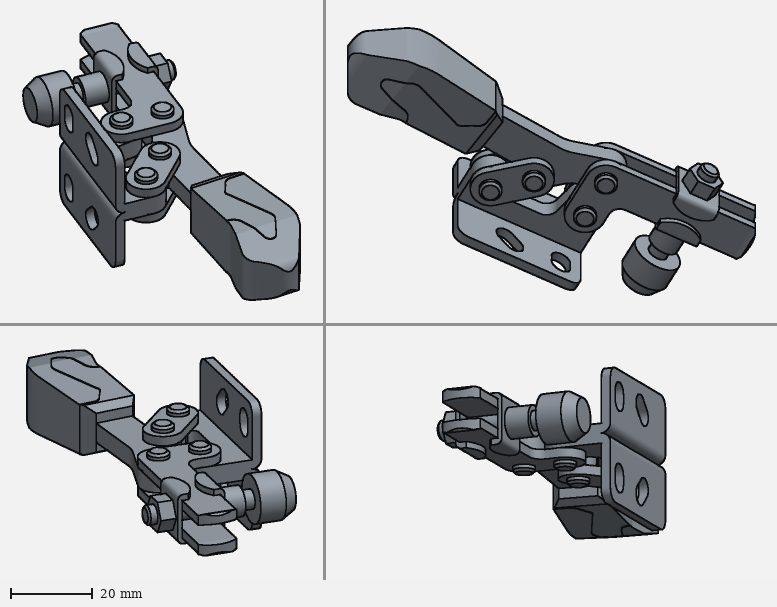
import cadquery as cq
import math


web_thickness = 5.0
plate_thickness = 2.5
lug_radius = 5.0
link_radius = 4.9
web_half = web_thickness / 2
plate_outer = web_half + plate_thickness

foot_size = 34.0
foot_corner_radius = 3.0
floor_height = 8.0
window_front_radius = 3.4
window_front_slope = 12.0
window_rear_x = 22.7
window_rear_radius = 1.5
slot_width = 5.1
slot_travel = 2.1
slot_z = 10.3
straight_slot_x = 5.5
angled_slot_x = 19.6
angled_slot_travel = 3.2
angled_slot_angle = 45.0

rivet_shank_diameter = 4.0
rivet_head_diameter = 5.6
rivet_head_height = 1.6
rivet_head_chamfer = 0.7

arm_base_joint = (lug_radius, 14.2)
arm_lever_joint = (lug_radius, 25.2)
link_base_joint = (foot_size - link_radius, 10.3)
link_lever_joint = (20.9, 17.6)

arm_tip_x = -34.9
arm_tip_sagitta = 1.3
arm_neck_radius = 3.0
arm_top = arm_lever_joint[1] + lug_radius
arm_bottom = arm_lever_joint[1] - lug_radius
lip_start = 2.0
lip_middle = 1.2
lip_crest = 0.7
lip_middle_rise = 0.2
lip_crest_rise = 0.6
lip_tip_drop = 0.1
lip_inner_rise = 0.2

grip_tilt = 6.0
grip_origin = (36.2, 24.2)
lever_half_width = 5.0
lever_neck_slope = 14.5
lever_link_radius = 4.5
lever_top_radius = 10.1
lever_bottom_radius = 5.6
grip_collar_length = 2.8
grip_split_u = 27.2
grip_nose_u = 38.3
grip_tip_u = 41.0
grip_front_half = 5.1
grip_collar_half = 6.6
grip_split_half = 8.2
grip_nose_half = 5.5
grip_tip_half = 1.9
grip_nose_arc_u = 40.3
grip_nose_arc_half = 3.9
grip_reach = 11.2
grip_pad_height = 0.17

spindle_x = -17.3
rod_diameter = 5.0
rod_top = 37.7
rod_chamfer = 0.6
nut_flats = 7.9
nut_turn = 30.0
nut_top = 35.3
collar_diameter = 7.8
collar_bottom = 12.8
cap_diameter = 12.5
cap_top = 9.7
cap_cone_top = 3.0
cap_bottom = -0.3
cap_face_diameter = 8.7
washer_thickness = 1.1
washer_width = 11.2
washer_flange_thickness = 1.6
washer_flange_side = 2.8
washer_flange_middle = 4.8
washer_bend_radius = 1.5


def upright(profile, half):
    """Extrude an XY profile to both sides of the plane Z = 0."""
    return profile.extrude(half, both=True)


def block(x0, x1, y0, y1, half):
    profile = cq.Workplane("XY").moveTo((x0 + x1) / 2, (y0 + y1) / 2).rect(x1 - x0, y1 - y0)
    return upright(profile, half)


def disc(center, radius, half):
    return upright(cq.Workplane("XY").moveTo(*center).circle(radius), half)


def strap(start, end, radius, half):
    """Flat bar with round ends about two points."""
    length = math.dist(start, end)
    angle = math.degrees(math.atan2(end[1] - start[1], end[0] - start[0]))
    middle = ((start[0] + end[0]) / 2, (start[1] + end[1]) / 2)
    profile = cq.Workplane("XY").center(*middle).slot2D(length + 2 * radius, 2 * radius, angle)
    return upright(profile, half)


def rivet(joint):
    """Shank with a chamfered head on each outer plate face."""
    shank = disc(joint, rivet_shank_diameter / 2, plate_outer)
    heads = disc(joint, rivet_head_diameter / 2, plate_outer + rivet_head_height)
    heads = heads.faces("<Z or >Z").chamfer(rivet_head_chamfer)
    return heads.cut(disc(joint, rivet_head_diameter, plate_outer)).union(shank)


def rivet_hole(joint):
    return disc(joint, rivet_shank_diameter / 2, plate_outer)


def crossing(point_a, angle_a, point_b, angle_b):
    """Where two lines meet, each given by a point and an angle in degrees."""
    ax, ay = math.cos(math.radians(angle_a)), math.sin(math.radians(angle_a))
    bx, by = math.cos(math.radians(angle_b)), math.sin(math.radians(angle_b))
    dx, dy = point_b[0] - point_a[0], point_b[1] - point_a[1]
    along = (dx * by - dy * bx) / (ax * by - ay * bx)
    return (point_a[0] + along * ax, point_a[1] + along * ay)


def rim_point(center, radius, angle):
    return (
        center[0] + radius * math.cos(math.radians(angle)),
        center[1] + radius * math.sin(math.radians(angle)),
    )


def foot_slot(x, z, travel, angle):
    profile = cq.Workplane("XZ").center(x, z).slot2D(travel + slot_width, slot_width, angle)
    return profile.extrude(-plate_thickness)


def make_foot():
    foot = block(0, foot_size, 0, plate_thickness, foot_size / 2)
    foot = foot.edges("|Y").fillet(foot_corner_radius)
    for side in (1, -1):
        foot = foot.cut(foot_slot(straight_slot_x, side * slot_z, slot_travel, 90))
        slant = -side * angled_slot_angle
        foot = foot.cut(foot_slot(angled_slot_x, side * slot_z, angled_slot_travel, slant))
    return foot


def make_web():
    lean = -90 + window_front_slope
    lug_side = rim_point(arm_base_joint, lug_radius, window_front_slope)
    window_corner = crossing(lug_side, lean, (0, floor_height), 0)
    front_lug = upright(
        cq.Workplane("XY")
        .polyline([
            (0, floor_height),
            window_corner,
            lug_side,
            arm_base_joint,
            (0, arm_base_joint[1]),
        ])
        .close(),
        web_half,
    )
    web = block(0, foot_size, 0, floor_height, web_half).union(front_lug)
    web = web.union(block(window_rear_x, foot_size, 0, link_base_joint[1], web_half))
    window_corners = (
        (window_corner, window_front_radius),
        ((window_rear_x, floor_height), window_rear_radius),
    )
    for corner, radius in window_corners:
        web = web.edges(cq.selectors.NearestToPointSelector((*corner, 0))).fillet(radius)
    web = web.union(disc(arm_base_joint, lug_radius, web_half))
    return web.union(disc(link_base_joint, link_radius, web_half))


def make_bend_groove():
    """V between the two bends where the web folds out into the foot, along X."""
    reach = web_half * (1 - math.sqrt(0.5))
    return (
        cq.Workplane("YZ")
        .moveTo(0, -web_half)
        .threePointArc((reach, -reach), (web_half, 0))
        .threePointArc((reach, reach), (0, web_half))
        .close()
        .extrude(foot_size)
    )


def make_base():
    base = make_foot().union(make_web()).cut(make_bend_groove())
    return base.cut(rivet_hole(arm_base_joint)).cut(rivet_hole(link_base_joint))


def make_arm_outline():
    beam_start = arm_tip_x + arm_tip_sagitta
    return (
        cq.Workplane("XY")
        .moveTo(beam_start, arm_top)
        .lineTo(arm_lever_joint[0], arm_top)
        .radiusArc((2 * lug_radius, arm_lever_joint[1]), lug_radius)
        .lineTo(2 * lug_radius, arm_base_joint[1])
        .radiusArc((lug_radius, arm_base_joint[1] - lug_radius), lug_radius)
        .radiusArc((0, arm_base_joint[1]), lug_radius)
        .lineTo(0, arm_bottom - arm_neck_radius)
        .radiusArc((-arm_neck_radius, arm_bottom), -arm_neck_radius)
        .lineTo(beam_start, arm_bottom)
        .threePointArc((arm_tip_x, arm_lever_joint[1]), (beam_start, arm_top))
        .close()
    )


def make_arm_section():
    """Upper plate seen along Y, with its tip flared outward into a lip."""
    return (
        cq.Workplane("XZ")
        .polyline([
            (arm_tip_x, web_half + lip_inner_rise),
            (arm_tip_x + lip_start, web_half),
            (2 * lug_radius, web_half),
            (2 * lug_radius, plate_outer),
            (arm_tip_x + lip_start, plate_outer),
            (arm_tip_x + lip_middle, plate_outer + lip_middle_rise),
            (arm_tip_x + lip_crest, plate_outer + lip_crest_rise),
            (arm_tip_x, plate_outer - lip_tip_drop),
        ])
        .close()
        .extrude(-arm_top)
    )


def make_arm():
    upper_plate = upright(make_arm_outline(), plate_outer + lip_crest_rise).intersect(make_arm_section())
    arm = upper_plate.union(upper_plate.mirror("XY"))
    return arm.union(rivet(arm_base_joint)).union(rivet(arm_lever_joint))


def make_link():
    link = strap(link_lever_joint, link_base_joint, link_radius, plate_outer)
    link = link.cut(strap(link_lever_joint, link_base_joint, 2 * link_radius, web_half))
    return link.union(rivet(link_lever_joint)).union(rivet(link_base_joint))


def grip_point(u, v):
    """Place a point of the grip's tilted frame in X and Y."""
    tilt = math.radians(grip_tilt)
    x = grip_origin[0] + u * math.cos(tilt) - v * math.sin(tilt)
    y = grip_origin[1] + u * math.sin(tilt) + v * math.cos(tilt)
    return (x, y)


def make_lever():
    rise = link_base_joint[1] - link_lever_joint[1]
    run = link_base_joint[0] - link_lever_joint[0]
    link_slope = math.degrees(math.atan2(rise, run))
    neck_top = rim_point(arm_lever_joint, lug_radius, 90 - lever_neck_slope)
    top_corner = crossing(neck_top, -lever_neck_slope, grip_point(0, lever_half_width), grip_tilt)
    link_side = rim_point(link_lever_joint, lever_link_radius, link_slope - 90)
    neck_bottom = (arm_lever_joint[0], arm_bottom)
    bottom_corner = crossing(neck_bottom, 0, link_side, link_slope)
    blade = upright(
        cq.Workplane("XY").polyline([
            neck_top,
            top_corner,
            grip_point(0, lever_half_width),
            grip_point(0, -lever_half_width),
            link_lever_joint,
            link_side,
            bottom_corner,
            neck_bottom,
            arm_lever_joint,
        ]).close(),
        web_half,
    )
    for corner, radius in ((top_corner, lever_top_radius), (bottom_corner, lever_bottom_radius)):
        blade = blade.edges(cq.selectors.NearestToPointSelector((*corner, 0))).fillet(radius)
    blade = blade.union(disc(arm_lever_joint, lug_radius, web_half))
    blade = blade.union(disc(link_lever_joint, lever_link_radius, web_half))
    return blade.cut(rivet_hole(arm_lever_joint)).cut(rivet_hole(link_lever_joint))


def make_grip_side():
    """Grip outline in the U-V frame."""
    return (
        cq.Workplane("XY")
        .moveTo(0, lever_half_width)
        .lineTo(3.7, 7.6)
        .lineTo(21.9, 9.4)
        .threePointArc((26.0, 9.3), (30.2, 8.2))
        .lineTo(38.4, 3.2)
        .threePointArc((40.7, 0.5), (40.5, -2.5))
        .lineTo(37.0, -7.5)
        .threePointArc((35.3, -9.4), (32.8, -9.6))
        .lineTo(23.3, -7.2)
        .threePointArc((22.1, -6.9), (20.9, -6.9))
        .lineTo(grip_collar_length, -6.9)
        .lineTo(0, -lever_half_width)
        .close()
    )


def make_grip_pad():
    """Outline of the raised pad in the U-V frame: the lower front, with a tongue to the rear."""
    return (
        cq.Workplane("XY")
        .moveTo(0, grip_reach)
        .lineTo(3.6, grip_reach)
        .lineTo(3.7, 3.2)
        .threePointArc((4.4, 2.0), (5.8, 1.1))
        .lineTo(8.3, -0.5)
        .threePointArc((9.3, -0.8), (10.3, -0.5))
        .lineTo(23.0, 3.8)
        .threePointArc((24.7, 4.0), (26.3, 3.5))
        .lineTo(30.9, 1.1)
        .threePointArc((31.8, -0.5), (30.9, -1.9))
        .lineTo(27.4, -2.8)
        .lineTo(23.3, -3.8)
        .threePointArc((21.4, -4.7), (20.5, -6.9))
        .lineTo(20.5, -grip_reach)
        .lineTo(0, -grip_reach)
        .close()
    )


def make_grip_plan(inset):
    """Grip outline in U and Z, thickest at the split line, drawn in by an inset."""
    front = grip_front_half - inset
    collar = grip_collar_half - inset
    split = grip_split_half - inset
    nose = grip_nose_half - inset
    return (
        cq.Workplane("XZ")
        .moveTo(0, -front)
        .lineTo(grip_collar_length, -collar)
        .lineTo(grip_split_u, -split)
        .lineTo(grip_nose_u, -nose)
        .threePointArc((grip_nose_arc_u, -grip_nose_arc_half), (grip_tip_u, -grip_tip_half))
        .lineTo(grip_tip_u, grip_tip_half)
        .threePointArc((grip_nose_arc_u, grip_nose_arc_half), (grip_nose_u, nose))
        .lineTo(grip_split_u, split)
        .lineTo(grip_collar_length, collar)
        .lineTo(0, front)
        .close()
        .extrude(grip_reach, both=True)
    )


def make_grip():
    side = upright(make_grip_side(), grip_split_half)
    core = side.intersect(make_grip_plan(grip_pad_height))
    padded = side.intersect(make_grip_plan(0)).intersect(upright(make_grip_pad(), grip_split_half))
    grip = core.union(padded)
    return grip.rotate((0, 0, 0), (0, 0, 1), grip_tilt).translate((*grip_origin, 0))


def make_handle():
    return make_lever().union(make_grip())


def spindle_cylinder(diameter, y0, y1):
    return cq.Workplane("XZ", origin=(spindle_x, y0, 0)).circle(diameter / 2).extrude(y0 - y1)


def make_spindle():
    washer_top = arm_top + washer_thickness
    washer_bottom = arm_bottom - washer_thickness
    rod = spindle_cylinder(rod_diameter, cap_bottom, rod_top).faces(">Y").chamfer(rod_chamfer)
    nut = (
        cq.Workplane("XZ", origin=(spindle_x, washer_top, 0))
        .transformed(rotate=(0, 0, nut_turn))
        .polygon(6, nut_flats, circumscribed=True)
        .extrude(washer_top - nut_top)
    )
    collar = spindle_cylinder(collar_diameter, collar_bottom, washer_bottom)
    cap = spindle_cylinder(cap_diameter, cap_bottom, cap_top).faces("<Y").chamfer(
        cap_cone_top - cap_bottom, (cap_diameter - cap_face_diameter) / 2
    )
    return rod.union(nut).union(collar).union(cap)


def make_washer(side):
    """Washer above (side 1) or below (side -1) the arm."""
    outer = plate_outer + washer_flange_thickness
    half_width = washer_width / 2
    back = lug_radius + washer_thickness
    washer = upright(
        cq.Workplane("XY")
        .moveTo(-half_width, back - washer_flange_side)
        .threePointArc((0, back - washer_flange_middle), (half_width, back - washer_flange_side))
        .lineTo(half_width, back)
        .lineTo(-half_width, back)
        .close(),
        outer,
    )
    washer = washer.edges("|X and >Y").fillet(washer_bend_radius)
    washer = washer.cut(block(-half_width, half_width, 0, lug_radius, plate_outer))
    if side < 0:
        washer = washer.mirror("XZ")
    washer = washer.translate((spindle_x, arm_lever_joint[1], 0))
    return washer.cut(spindle_cylinder(rod_diameter, cap_bottom, rod_top))


base = make_base()
arm = make_arm()
link = make_link()
handle = make_handle()
spindle = make_spindle()
washers = [make_washer(side).val() for side in (1, -1)]

result = cq.Compound.makeCompound([
    base.val(),
    arm.val(),
    link.val(),
    handle.val(),
    spindle.val(),
    *washers,
])